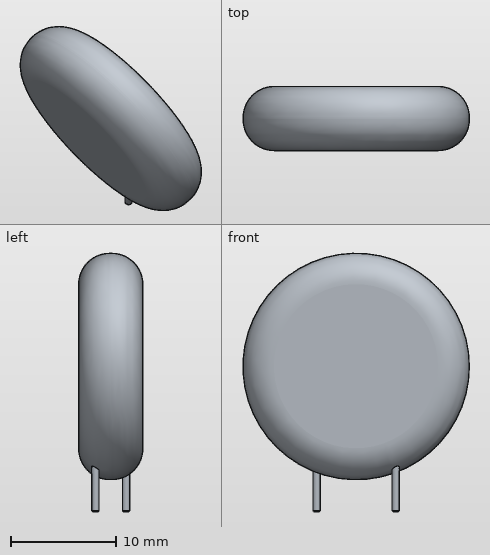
import cadquery as cq

body_diameter = 21.5
body_thickness = 6.1
edge_radius = 2.97

overall_height = 24.53
lead_diameter = 0.7
lead_pitch = 7.5
lead_stagger = 2.9
lead_tip_chamfer = 0.12
lead_tip_z = body_diameter / 2 - overall_height
lead_top_z = -body_diameter / 4


def make_body():
    """Disc with both rims rounded."""
    disc = cq.Workplane("XZ").circle(body_diameter / 2).extrude(body_thickness / 2, both=True)
    return disc.faces("|Y").edges().fillet(edge_radius)


def make_lead(x, y):
    """Vertical lead with a chamfered lower tip."""
    lead = (
        cq.Workplane("XY", origin=(x, y, lead_tip_z))
        .circle(lead_diameter / 2)
        .extrude(lead_top_z - lead_tip_z)
    )
    return lead.faces("<Z").edges().chamfer(lead_tip_chamfer)


result = make_body()
for side in (-1, 1):
    result = result.union(make_lead(side * lead_pitch / 2, -side * lead_stagger / 2))